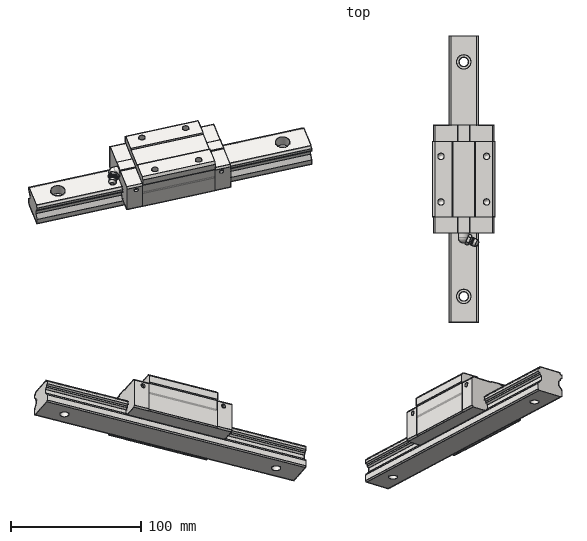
import cadquery as cq
import math

RAIL_LENGTH = 220.0
RAIL_HALF_WIDTH = 11.5
RAIL_HEIGHT = 20.1
RAIL_FOOT_CHAMFER = 1.0
RAIL_HEAD_HALF_WIDTH = 9.6
RAIL_WAIST_HALF_WIDTH = 8.4
RAIL_HEAD_FILLET = 1.2
RAIL_FOOT_TOP = 5.8
RAIL_WAIST_BOTTOM = 9.2
RAIL_WAIST_TOP = 12.4
RAIL_RACE_LOWER_HALF_WIDTH = 9.8
RAIL_RACE_LOWER_Z = 13.7
RAIL_RACE_UPPER_HALF_WIDTH = 10.1
RAIL_RACE_UPPER_Z = 14.9
RAIL_LIP_BOTTOM = 15.9
RAIL_LIP_TOP = 18.4
RAIL_HOLE_SPACING = 180.0
RAIL_BOLT_DIAMETER = 7.0
RAIL_BOLT_HEAD_DIAMETER = 11.0
RAIL_BOLT_HEAD_DEPTH = 9.0

CARRIAGE_BOTTOM = 7.0
CARRIAGE_TOP = 40.0
BLOCK_LENGTH = 58.0
BLOCK_HALF_WIDTH = 24.0
BLOCK_TOP_CHAMFER = 1.9
BLOCK_SHOULDER_BOTTOM = 32.2
BLOCK_WAIST_TOP = 31.7
BLOCK_WAIST_HALF_WIDTH = 23.0
BLOCK_SKIRT_HALF_WIDTH = 23.3
BLOCK_SKIRT_SLOPE_TOP = 23.5
BLOCK_SKIRT_SLOPE_BOTTOM = 22.3
BLOCK_BOTTOM_CHAMFER = 0.9

TOP_GROOVE_HALF_WIDTH = 8.9
TOP_GROOVE_FLOOR_HALF_WIDTH = 8.4
TOP_GROOVE_DEPTH = 1.2

MOUNT_HOLE_SPACING = 35.0
MOUNT_HOLE_DIAMETER = 4.92
MOUNT_HOLE_DEPTH = 8.0
DRILL_TIP_ANGLE = 118.0

CARRIAGE_LENGTH = 83.0
CAP_HALF_WIDTH = 23.4
CAP_BOTTOM_CHAMFER = 1.2
CAP_TOP = 32.4
CAP_TOP_CHAMFER = 1.4
CAP_PAD_TOP = 33.0
CAP_PAD_HALF_WIDTH = 4.4
CAP_PAD_FOOT_HALF_WIDTH = 4.9
CAP_SIDE_HOLE_DIAMETER = 3.3
CAP_SIDE_HOLE_DEPTH = 2.0
CAP_SIDE_HOLE_Y = 34.2
CAP_SIDE_HOLE_Z = 27.9

NIPPLE_Z = 27.0
ELBOW_DIAMETER = 8.4
ELBOW_LENGTH = 3.4
SPOUT_ANGLE = 24.0
HEX_START = 2.7
HEX_ACROSS_FLATS = 7.2
HEX_END = 5.4
HEX_CHAMFER_DIAMETER = 6.6
HEX_CHAMFER_LENGTH = 0.6
SPOUT_NECK_DIAMETER = 5.0
SPOUT_COLLAR_START = 6.5
SPOUT_COLLAR_DIAMETER = 6.0
SPOUT_COLLAR_END = 7.2
SPOUT_GROOVE_END = 7.8
SPOUT_HEAD_END = 10.2
SPOUT_TIP_DIAMETER = 3.0
SPOUT_END = 12.1


def mirrored_outline(right_side):
    """Closed outline from its right-hand points, listed bottom to top."""
    left_side = [(-x, z) for x, z in reversed(right_side)]
    return right_side + left_side


def extrude_along_y(right_side, length):
    """Prism with a left-right symmetric XZ outline, centred on Y = 0."""
    outline = mirrored_outline(right_side)
    return cq.Workplane("XZ").polyline(outline).close().extrude(length / 2, both=True)


def rail_bar():
    sharp = extrude_along_y(
        [
            (RAIL_HALF_WIDTH - RAIL_FOOT_CHAMFER, 0),
            (RAIL_HALF_WIDTH, RAIL_FOOT_CHAMFER),
            (RAIL_HALF_WIDTH, RAIL_FOOT_TOP),
            (RAIL_WAIST_HALF_WIDTH, RAIL_WAIST_BOTTOM),
            (RAIL_WAIST_HALF_WIDTH, RAIL_WAIST_TOP),
            (RAIL_RACE_LOWER_HALF_WIDTH, RAIL_RACE_LOWER_Z),
            (RAIL_RACE_UPPER_HALF_WIDTH, RAIL_RACE_UPPER_Z),
            (RAIL_HALF_WIDTH, RAIL_LIP_BOTTOM),
            (RAIL_HALF_WIDTH, RAIL_LIP_TOP),
            (RAIL_HEAD_HALF_WIDTH, RAIL_LIP_TOP),
            (RAIL_HEAD_HALF_WIDTH, RAIL_HEIGHT),
        ],
        RAIL_LENGTH,
    )
    inner_corners = [
        cq.NearestToPointSelector((side * RAIL_HEAD_HALF_WIDTH, 0, RAIL_LIP_TOP)) for side in (-1, 1)
    ]
    return sharp.edges("|Y").edges(inner_corners[0] + inner_corners[1]).fillet(RAIL_HEAD_FILLET)


def make_rail():
    return (
        rail_bar()
        .faces(">Z")
        .workplane(origin=(0, 0, RAIL_HEIGHT))
        .rarray(1, RAIL_HOLE_SPACING, 1, 2)
        .cboreHole(RAIL_BOLT_DIAMETER, RAIL_BOLT_HEAD_DIAMETER, RAIL_BOLT_HEAD_DEPTH)
    )


def block_body():
    groove_floor = CARRIAGE_TOP - TOP_GROOVE_DEPTH
    return extrude_along_y(
        [
            (BLOCK_SKIRT_HALF_WIDTH - BLOCK_BOTTOM_CHAMFER, CARRIAGE_BOTTOM),
            (BLOCK_SKIRT_HALF_WIDTH, CARRIAGE_BOTTOM + BLOCK_BOTTOM_CHAMFER),
            (BLOCK_SKIRT_HALF_WIDTH, BLOCK_SKIRT_SLOPE_BOTTOM),
            (BLOCK_WAIST_HALF_WIDTH, BLOCK_SKIRT_SLOPE_TOP),
            (BLOCK_WAIST_HALF_WIDTH, BLOCK_WAIST_TOP),
            (BLOCK_HALF_WIDTH, BLOCK_SHOULDER_BOTTOM),
            (BLOCK_HALF_WIDTH, CARRIAGE_TOP - BLOCK_TOP_CHAMFER),
            (BLOCK_HALF_WIDTH - BLOCK_TOP_CHAMFER, CARRIAGE_TOP),
            (TOP_GROOVE_HALF_WIDTH, CARRIAGE_TOP),
            (TOP_GROOVE_FLOOR_HALF_WIDTH, groove_floor),
        ],
        BLOCK_LENGTH,
    )


def cap_body():
    """Bar that stands out of both ends of the block as the two end caps."""
    return extrude_along_y(
        [
            (CAP_HALF_WIDTH - CAP_BOTTOM_CHAMFER, CARRIAGE_BOTTOM),
            (CAP_HALF_WIDTH, CARRIAGE_BOTTOM + CAP_BOTTOM_CHAMFER),
            (CAP_HALF_WIDTH, CAP_TOP - CAP_TOP_CHAMFER),
            (CAP_HALF_WIDTH - CAP_TOP_CHAMFER, CAP_TOP),
            (CAP_PAD_FOOT_HALF_WIDTH, CAP_TOP),
            (CAP_PAD_HALF_WIDTH, CAP_PAD_TOP),
        ],
        CARRIAGE_LENGTH,
    )


def end_caps():
    gap = cq.Workplane("XY").box(4 * CAP_HALF_WIDTH, BLOCK_LENGTH, 4 * CARRIAGE_TOP)
    return cap_body().cut(gap)


def mount_holes():
    """Blind holes with a drill-point bottom, one at each corner of a square."""
    radius = MOUNT_HOLE_DIAMETER / 2
    tip_length = radius / math.tan(math.radians(DRILL_TIP_ANGLE / 2))
    floor = CARRIAGE_TOP - MOUNT_HOLE_DEPTH
    drill = (
        cq.Workplane("XZ")
        .polyline(
            [
                (0, CARRIAGE_TOP),
                (radius, CARRIAGE_TOP),
                (radius, floor),
                (0, floor - tip_length),
            ]
        )
        .close()
        .revolve(360, (0, 0, 0), (0, 1, 0))
        .val()
    )
    return (
        cq.Workplane("XY")
        .rarray(MOUNT_HOLE_SPACING, MOUNT_HOLE_SPACING, 2, 2)
        .eachpoint(lambda place: drill.moved(place))
    )


def cap_side_holes():
    """Shallow holes in both flanks of both end caps."""
    radius = CAP_SIDE_HOLE_DIAMETER / 2
    drill = cq.Workplane("YZ").circle(radius).extrude(CAP_SIDE_HOLE_DEPTH, both=True).val()
    places = [
        cq.Location(cq.Vector(side * CAP_HALF_WIDTH, end * CAP_SIDE_HOLE_Y, CAP_SIDE_HOLE_Z))
        for side in (-1, 1)
        for end in (-1, 1)
    ]
    return cq.Workplane("XY").newObject([drill.moved(place) for place in places])


def make_carriage():
    return (
        block_body()
        .union(end_caps())
        .cut(rail_bar())
        .cut(mount_holes())
        .cut(cap_side_holes())
    )


def spout():
    """Spout along +X from the origin: hexagon, neck, collar and head with a tapered tip."""
    neck = SPOUT_NECK_DIAMETER / 2
    collar = SPOUT_COLLAR_DIAMETER / 2
    turned = (
        cq.Workplane("XY")
        .moveTo(0, 0)
        .lineTo(0, neck)
        .lineTo(SPOUT_COLLAR_START, neck)
        .lineTo(SPOUT_COLLAR_START, collar)
        .lineTo(SPOUT_COLLAR_END, collar)
        .lineTo(SPOUT_COLLAR_END, neck)
        .lineTo(SPOUT_GROOVE_END, neck)
        .lineTo(SPOUT_GROOVE_END, collar)
        .lineTo(SPOUT_HEAD_END, collar)
        .lineTo(SPOUT_END, SPOUT_TIP_DIAMETER / 2)
        .lineTo(SPOUT_END, 0)
        .close()
        .revolve(360, (0, 0, 0), (1, 0, 0))
    )
    hex_corner = HEX_ACROSS_FLATS / math.sqrt(3)
    hexagon = (
        cq.Workplane("YZ", origin=(HEX_START, 0, 0))
        .polygon(6, 2 * hex_corner)
        .extrude(HEX_END - HEX_START)
    )
    chamfer_cone = (
        cq.Workplane("XY")
        .polyline(
            [
                (0, 0),
                (0, hex_corner),
                (HEX_END - HEX_CHAMFER_LENGTH, hex_corner),
                (HEX_END, HEX_CHAMFER_DIAMETER / 2),
                (HEX_END, 0),
            ]
        )
        .close()
        .revolve(360, (0, 0, 0), (1, 0, 0))
    )
    return turned.union(hexagon.intersect(chamfer_cone))


def make_grease_nipple():
    end_face = -CARRIAGE_LENGTH / 2
    elbow_y = end_face - ELBOW_LENGTH
    stem = (
        cq.Workplane("XZ", origin=(0, end_face, NIPPLE_Z))
        .circle(ELBOW_DIAMETER / 2)
        .extrude(ELBOW_LENGTH)
    )
    half_ball = cq.Workplane("XZ", origin=(0, elbow_y, NIPPLE_Z)).sphere(
        ELBOW_DIAMETER / 2, angle1=0
    )
    turned_spout = (
        spout()
        .rotate((0, 0, 0), (0, 0, 1), -SPOUT_ANGLE)
        .translate((0, elbow_y, NIPPLE_Z))
    )
    return stem.union(half_ball).union(turned_spout)


rail = make_rail()
carriage = make_carriage()
grease_nipple = make_grease_nipple()

result = cq.Compound.makeCompound([rail.val(), carriage.val(), grease_nipple.val()])